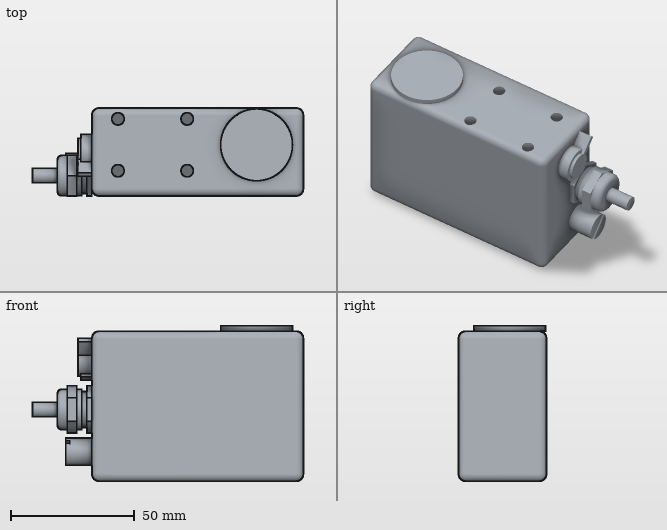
import cadquery as cq
import math

BOX_LENGTH = 85.7
BOX_WIDTH = 35.7
BOX_HEIGHT = 60.8
BOX_EDGE_RADIUS = 3.0

PAD_DIAMETER = 29.1
PAD_HEIGHT = 2.2
PAD_X = 66.7
PAD_Y = 2.9

HOLE_DIAMETER = 5.0
HOLE_DEPTH = 10.0
HOLE_FIRST_X = 10.6
HOLE_FIRST_Y = -7.6
HOLE_PITCH_X = 28.0
HOLE_PITCH_Y = 21.0

GLAND_Y = -9.55
GLAND_Z = 29.1
GLAND_HEX_FLATS = 16.6
GLAND_CAP_DIAMETER = 16.5
GLAND_CAP_RADIUS = 2.0
GLAND_NECK_DIAMETER = 14.7
CABLE_DIAMETER = 6.0
LOCKNUT_REACH = 2.0
NECK_REACH = 4.0
CAP_HEX_START = 6.0
CAP_HEX_REACH = 10.0
CAP_REACH = 14.0
CABLE_REACH = 24.0

SCREW_Y = -6.05
SCREW_Z = 12.0
SCREW_DIAMETER = 11.1
SCREW_REACH = 10.6
SLOT_WIDTH = 1.6
SLOT_DEPTH = 1.7

KNOB_Y = 0.2
KNOB_Z = 47.95
KNOB_DIAMETER = 10.9
KNOB_REACH = 5.6
POINTER_WIDTH = 2.0
POINTER_LENGTH = 13.2
COLLAR_DIAMETER = 14.1
COLLAR_REACH = 4.4
COLLAR_END_OFFSET = 1.0

TILT_ANGLE = 45.0


def left_face_plane(y, z, reach=0.0):
    """Sketch plane looking out along -X: local x is -Y, local y is +Z."""
    return cq.Workplane(cq.Plane(origin=(-reach, y, z), xDir=(0, -1, 0), normal=(-1, 0, 0)))


def tilted_block(sketch, x_start, x_end, y_start, y_end, length):
    """Block between the given limits of axes turned by TILT_ANGLE in the sketch plane."""
    turned = sketch.transformed(rotate=(0, 0, TILT_ANGLE))
    middle = ((x_start + x_end) / 2, (y_start + y_end) / 2)
    return turned.center(*middle).rect(x_end - x_start, y_end - y_start).extrude(length)


def make_housing():
    box = cq.Workplane("XY").box(BOX_LENGTH, BOX_WIDTH, BOX_HEIGHT, centered=(False, True, False))
    return box.edges().fillet(BOX_EDGE_RADIUS)


def make_pad():
    base = cq.Workplane("XY", origin=(PAD_X, PAD_Y, BOX_HEIGHT))
    return base.circle(PAD_DIAMETER / 2).extrude(PAD_HEIGHT)


def make_holes():
    centres = [
        (HOLE_FIRST_X + column * HOLE_PITCH_X, HOLE_FIRST_Y + row * HOLE_PITCH_Y)
        for column in range(2)
        for row in range(2)
    ]
    top = cq.Workplane("XY", origin=(0, 0, BOX_HEIGHT))
    return top.pushPoints(centres).circle(HOLE_DIAMETER / 2).extrude(-HOLE_DEPTH)


def gland_disc(diameter, start, end):
    return left_face_plane(GLAND_Y, GLAND_Z, start).circle(diameter / 2).extrude(end - start)


def gland_hexagon(start, end):
    corner_diameter = GLAND_HEX_FLATS / math.cos(math.pi / 6)
    sketch = left_face_plane(GLAND_Y, GLAND_Z, start).transformed(rotate=(0, 0, 90))
    return sketch.polygon(6, corner_diameter).extrude(end - start)


def make_gland():
    cap = gland_disc(GLAND_CAP_DIAMETER, NECK_REACH, CAP_REACH)
    cap = cap.faces("<X").edges().fillet(GLAND_CAP_RADIUS)
    return (
        gland_hexagon(0, LOCKNUT_REACH)
        .union(gland_disc(GLAND_NECK_DIAMETER, 0, NECK_REACH))
        .union(cap)
        .union(gland_hexagon(CAP_HEX_START, CAP_HEX_REACH))
        .union(gland_disc(CABLE_DIAMETER, 0, CABLE_REACH))
    )


def make_screw():
    body = left_face_plane(SCREW_Y, SCREW_Z).circle(SCREW_DIAMETER / 2).extrude(SCREW_REACH)
    slot_floor = left_face_plane(SCREW_Y, SCREW_Z, SCREW_REACH - SLOT_DEPTH)
    slot = tilted_block(
        slot_floor, -SCREW_DIAMETER, SCREW_DIAMETER, -SLOT_WIDTH / 2, SLOT_WIDTH / 2, SLOT_DEPTH
    )
    return body.cut(slot)


def make_knob():
    base = left_face_plane(KNOB_Y, KNOB_Z)
    pointer = tilted_block(base, 0, POINTER_LENGTH, -POINTER_WIDTH / 2, POINTER_WIDTH / 2, KNOB_REACH)
    collar_opening = tilted_block(
        base, -COLLAR_END_OFFSET, COLLAR_DIAMETER, -COLLAR_DIAMETER, POINTER_WIDTH / 2, COLLAR_REACH
    )
    collar = base.circle(COLLAR_DIAMETER / 2).extrude(COLLAR_REACH).cut(collar_opening)
    return base.circle(KNOB_DIAMETER / 2).extrude(KNOB_REACH).union(collar).union(pointer)


result = (
    make_housing()
    .union(make_pad())
    .cut(make_holes())
    .union(make_gland())
    .union(make_screw())
    .union(make_knob())
)